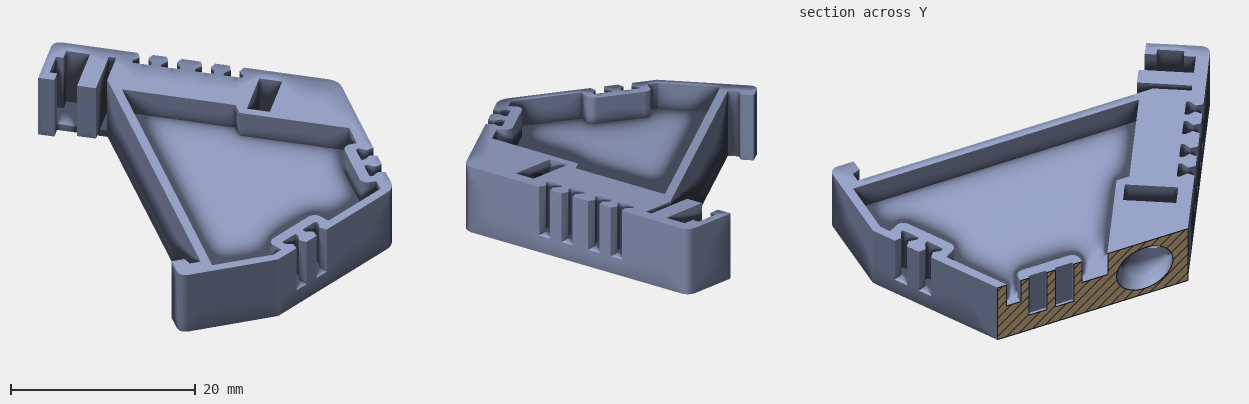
import cadquery as cq
import math

length = 45.55
width = 31.0
height = 7.5
slant = 60.0
sin_slant = math.sin(math.radians(slant))
cos_slant = math.cos(math.radians(slant))
tan_slant = sin_slant / cos_slant

top_wall_length = 20.9
top_corner_radius = 2.0
end_radius = 1.0
rail_y = -23.95

hook_reach = 7.0
clip_end = (width - hook_reach * cos_slant) / sin_slant
clip_floor = 0.8
clip_wall = 1.45
clip_floor_reach = 5.75
prong_reach = 7.45
relief_start = 24.4
prong_start = 25.22
prong_end = 27.3
hook_start = 29.95
step_end = 30.8
step_inward = 2.8

left_x = -(clip_end - end_radius) * cos_slant + end_radius * sin_slant - end_radius
right_x = left_x + length

foot_y = -26.95
foot_lip_y = -25.5
foot_root_y = -25.2
foot_reach = 2.95
foot_neck = 2.0

cavity_depth = 3.0
top_wall = 1.45
side_wall = 1.0
left_block_upper = 8.35
left_block_lower = 7.0
ledge_y = -12.0

boss_length = 7.38
boss_reach = 3.1
boss_radius = 0.9
top_boss_x = 15.4
right_boss_along = 12.98

slot_pitch = 3.2
slot_floor = 2.2
mouth_edge_floor = 1.9
mouth_width = 1.6
neck_width = 1.0
mouth_depth = 0.75
neck_end = 0.8
slot_width = 2.15
shoulder_depth = 1.5
slot_depth = 1.9
slot_corner = 0.2
left_pairs_along = (12.95, 19.9)

window_start = 5.9
window_end = 8.45
window_near = 1.6
window_far = 7.38
bore_diameter = window_far - window_near


def left_wall_point(along, inward):
    """XY position of a point given along and square to the left wall."""
    x = -along * cos_slant + inward * sin_slant
    y = -along * sin_slant - inward * cos_slant
    return x, y


def left_offset_point(inward, y):
    """Point at height y on the line parallel to the left wall."""
    return (inward + y * cos_slant) / sin_slant, y


def right_offset_point(inward, y):
    """Point at height y on the line parallel to the slanted right wall."""
    return top_wall_length - y / tan_slant - inward / sin_slant, y


def right_offset_corner(inward):
    """Corner where the offset slanted and vertical right walls meet."""
    x = right_x - inward
    return x, (top_wall_length - inward / sin_slant - x) * tan_slant


def wall_plane(x, angle):
    """Plane at the base of a wall: local x along the wall, local y outward."""
    along = (math.cos(math.radians(angle)), math.sin(math.radians(angle)), 0)
    return cq.Plane(origin=(x, 0, 0), xDir=along, normal=(0, 0, 1))


top_plane = wall_plane(0, 0)
left_plane = wall_plane(0, slant)
right_plane = wall_plane(top_wall_length, -slant)


def prism(points, floor, top):
    return cq.Workplane("XY", origin=(0, 0, floor)).polyline(points).close().extrude(top - floor)


def left_wall_block(along_start, along_end, inward_start, inward_end, floor):
    """Block lined up with the left wall, reaching from floor to the top face."""
    points = [
        left_wall_point(along_start, inward_start),
        left_wall_point(along_end, inward_start),
        left_wall_point(along_end, inward_end),
        left_wall_point(along_start, inward_end),
    ]
    return prism(points, floor, height)


def round_upright_edges(solid, plane, corners, radius):
    """Fillet the vertical edges nearest to corners given in the plane's local axes."""
    for x, y in corners:
        corner = plane.toWorldCoords((x, y, height / 2)).toTuple()
        nearest = cq.selectors.NearestToPointSelector(corner)
        solid = solid.edges("|Z").edges(nearest).fillet(radius)
    return solid


def make_body():
    clip_corner = left_wall_point(clip_end, 0)
    foot_corner = (right_x, foot_y)
    outline = [
        (0, 0),
        (top_wall_length, 0),
        right_offset_corner(0),
        foot_corner,
        (right_x - foot_reach, foot_y),
        (right_x - foot_reach, foot_lip_y),
        (right_x - foot_neck, foot_root_y),
        (right_x - foot_neck, rail_y),
        left_offset_point(clip_floor_reach, rail_y),
        left_wall_point(hook_start, clip_floor_reach),
        left_wall_point(hook_start, hook_reach),
        left_wall_point(clip_end, hook_reach),
        clip_corner,
    ]
    body = prism(outline, 0, height)

    top_corners = [(0, 0), (top_wall_length, 0)]
    body = round_upright_edges(body, top_plane, top_corners, top_corner_radius)
    return round_upright_edges(body, top_plane, [clip_corner, foot_corner], end_radius)


def make_boss(plane, centre):
    """Rounded block standing inward from a wall, as deep as the cavity."""
    boss = (
        cq.Workplane(plane)
        .workplane(offset=height - cavity_depth)
        .center(centre, -boss_reach / 2)
        .rect(boss_length, boss_reach)
        .extrude(cavity_depth)
    )
    inner_corners = [(centre + side * boss_length / 2, -boss_reach) for side in (-1, 1)]
    return round_upright_edges(boss, plane, inner_corners, boss_radius)


def make_cavity():
    outline = [
        left_offset_point(left_block_upper, -top_wall),
        right_offset_point(side_wall, -top_wall),
        right_offset_corner(side_wall),
        (right_x - side_wall, rail_y + side_wall),
        left_offset_point(left_block_lower, rail_y + side_wall),
        left_offset_point(left_block_lower, ledge_y),
        left_offset_point(left_block_upper, ledge_y),
    ]
    cavity = prism(outline, height - cavity_depth, height)
    cavity = cavity.cut(make_boss(top_plane, top_boss_x))
    return cavity.cut(make_boss(right_plane, right_boss_along))


def make_slot(plane, centre):
    """Slot that narrows to a neck and widens again, with a ramped mouth floor."""
    def half_outline(side):
        return [
            (side * mouth_width / 2, 0),
            (side * neck_width / 2, -mouth_depth),
            (side * neck_width / 2, -neck_end),
            (side * slot_width / 2, -shoulder_depth),
            (side * slot_width / 2, -slot_depth),
        ]

    outline = half_outline(1) + half_outline(-1)[::-1]
    base = cq.Workplane(plane).center(centre, 0)
    slot = base.workplane(offset=slot_floor).polyline(outline).close().extrude(height - slot_floor)
    wide_corners = [
        (centre + side * slot_width / 2, -depth)
        for side in (-1, 1)
        for depth in (shoulder_depth, slot_depth)
    ]
    slot = round_upright_edges(slot, plane, wide_corners, slot_corner)
    mouth = base.workplane(offset=mouth_edge_floor).polyline([
        (-mouth_width / 2, 0),
        (mouth_width / 2, 0),
        (neck_width / 2, -mouth_depth),
        (-neck_width / 2, -mouth_depth),
    ]).close().extrude(slot_floor - mouth_edge_floor)
    across = cq.Plane(
        origin=plane.toWorldCoords((centre - mouth_width / 2, 0, 0)),
        xDir=plane.yDir,
        normal=plane.xDir,
    )
    ramp = cq.Workplane(across).polyline([
        (0, mouth_edge_floor),
        (0, slot_floor),
        (-mouth_depth, slot_floor),
    ]).close().extrude(mouth_width)
    return slot.union(mouth.intersect(ramp))


def cut_slot_pair(part, plane, centre):
    for side in (-1, 1):
        part = part.cut(make_slot(plane, centre + side * slot_pitch / 2))
    return part


def make_bore():
    """Round bore from the middle of the window, along the left wall and out of the top wall."""
    bore_inward = (window_near + window_far) / 2
    bore_start = (window_start + window_end) / 2
    x, y = left_wall_point(bore_start, bore_inward)
    axis_plane = cq.Plane(
        origin=(x, y, height / 2),
        xDir=(0, 0, 1),
        normal=left_plane.xDir,
    )
    bore_length = bore_start + bore_diameter
    return cq.Workplane(axis_plane).circle(bore_diameter / 2).extrude(bore_length)


part = make_body()
part = part.union(left_wall_block(prong_start, prong_end, clip_wall, prong_reach, clip_floor))

part = part.cut(left_wall_block(relief_start, prong_start, clip_wall, clip_floor_reach, clip_floor))
part = part.cut(left_wall_block(prong_end, hook_start, clip_wall, clip_floor_reach, clip_floor))
part = part.cut(left_wall_block(hook_start, step_end, step_inward, clip_floor_reach, clip_floor))

part = part.cut(make_cavity())
part = part.cut(left_wall_block(window_start, window_end, window_near, window_far, 0))
part = part.cut(make_bore())

part = cut_slot_pair(part, top_plane, top_boss_x)
part = cut_slot_pair(part, right_plane, right_boss_along)
for pair_along in left_pairs_along:
    part = cut_slot_pair(part, left_plane, -pair_along)

result = part